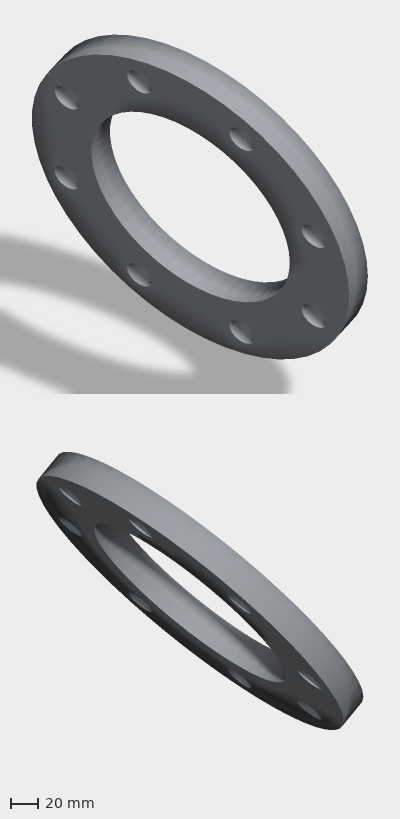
import cadquery as cq

outer_diameter = 285.0
bore_diameter = 178.0
thickness = 23.0

bolt_count = 8
bolt_hole_diameter = 22.0
bolt_circle_diameter = 240.0
bolt_start_angle = 180 / bolt_count


def ring():
    """Plain ring with its back face on the XZ plane."""
    return (
        cq.Workplane("XZ")
        .circle(outer_diameter / 2)
        .circle(bore_diameter / 2)
        .extrude(thickness)
    )


def bolt_holes():
    """Cutters for the circle of through holes."""
    return (
        cq.Workplane("XZ")
        .polarArray(bolt_circle_diameter / 2, bolt_start_angle, 360, bolt_count)
        .circle(bolt_hole_diameter / 2)
        .extrude(thickness)
    )


result = ring().cut(bolt_holes())